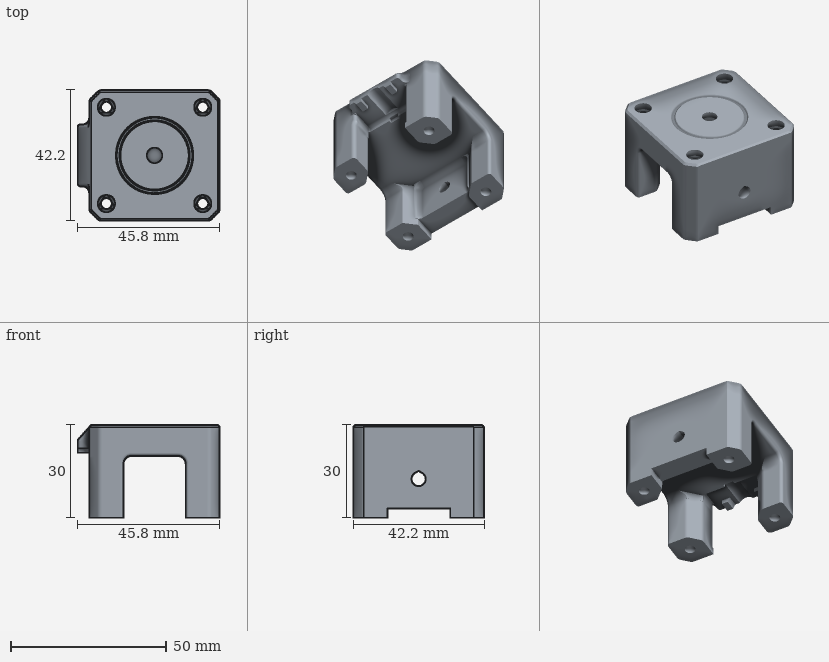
import cadquery as cq
import math

overall_length = 45.75
side = 42.2
height = 30.0
half = side / 2
tolerance = 0.005
back_trim = 0.15
corner_bevel = 3.3
corner_radius = 2.0
top_chamfer = 0.7

clip_reach = overall_length - side + back_trim
clip_front = -half - clip_reach
clip_half_width = 10.02
clip_bottom = 22.47
clip_edge_radius = 1.0
clip_root_radius = 2.0
slope_setback = top_chamfer
slope_angle = 48
tooth_bottom = 20.95
tooth_pitch = 11.63
tooth_width = 2.05
tooth_slant = 0.82
first_tooth = 4.75

ceiling = 19.95
arch_radius = 2.5
arch_half_width = 10.0
arch_edge_radius = 1.0
entry_left = 10.15
entry_edge_radius = 1.35
pocket_half_width = 10.65
pocket_wall_x = 14.05
pocket_fillet = 2.0
wall_bottom = 3.0
leg_bevel_reach = 23.7
leg_bevel_radius = 2.0
teardrop_radius = 2.25
teardrop_peak = 2.55
teardrop_z = 12.55

notch_left = 9.75
notch_right = -9.9
notch_bottom = 2.5
notch_depth = 7.5
notch_ceiling_fillet = 1.0
notch_side_fillet = 0.5
notch_edge_radius = 1.0
screw_z = 21.0
screw_slot_width = 3.5
screw_slot_depth = 1.0
screw_head_diameter = 5.6

hole_offset = 15.5
hole_diameter = 3.5
counterbore_diameter = 5.6
counterbore_depth = 2.35
triangle_depth = 0.2
centre_hole_diameter = 5.0
centre_hole_depth = 2.0
groove_outer_radius = 12.5
groove_inner_radius = 11.0
groove_depth = 0.4
groove_flank = 0.35


def block(x0, x1, y0, y1, z0, z1):
    """Box between two opposite corners."""
    return cq.Workplane("XY").box(x1 - x0, y1 - y0, z1 - z0, centered=False).translate((x0, y0, z0))


def edges_where(part, test):
    """Workplane holding the edges of a part that pass a test."""
    return part.newObject([edge for edge in part.edges().vals() if test(edge)])


def slope_prism(far_x, far_z, y_half):
    """Prism with the slope as one side and its opposite corner at (far_x, far_z)."""
    rise = math.tan(math.radians(slope_angle))
    slope_top_x = -half + slope_setback
    front_z = height - (slope_top_x - clip_front) * rise
    outline = [(slope_top_x, height), (clip_front, front_z), (clip_front, far_z)]
    outline += [(far_x, far_z), (far_x, height)]
    return cq.Workplane("XZ").polyline(outline).close().extrude(y_half, both=True)


def make_body():
    """Bevelled block with chamfered top edges; the chamfer on -X follows the slope of the clip.

    The +X face is shaved a little after the chamfer.
    """
    body = block(-half, half, -half, half, 0, height).edges("|Z").chamfer(corner_bevel)
    body = body.edges("|Z").fillet(corner_radius)
    body = body.faces(">Z").edges().chamfer(top_chamfer)
    return body.intersect(slope_prism(half - back_trim, 0, half))


def make_clip():
    """Sloped ledge, rounded along its slope, front and upright edges."""
    clip = slope_prism(-half + slope_setback, clip_bottom, clip_half_width)

    def outer_edge(edge):
        centre = edge.Center()
        return centre.x < -half and centre.z > clip_bottom + tolerance

    return edges_where(clip, outer_edge).fillet(clip_edge_radius)


def join_clip(body):
    """Add the clip and blend its two sides into the -X face."""
    joined = body.union(make_clip())

    def root_edge(edge):
        upright = edge.geomType() == "LINE" and edge.BoundingBox().ylen < tolerance
        beside_clip = abs(abs(edge.Center().y) - clip_half_width) < tolerance
        return upright and beside_clip and abs(edge.Center().x + half) < tolerance

    return edges_where(joined, root_edge).fillet(clip_root_radius)


def make_teeth():
    """Two hooks under the clip, each upright on its -Y side and slanted on its +Y side."""
    teeth = cq.Workplane("XY")
    for upright_y in (first_tooth, first_tooth - tooth_pitch):
        outline = [
            (upright_y, clip_bottom),
            (upright_y, tooth_bottom),
            (upright_y + tooth_width, tooth_bottom),
            (upright_y + tooth_width + tooth_slant, clip_bottom),
        ]
        tooth = cq.Workplane("YZ", origin=(clip_front, 0, 0)).polyline(outline).close()
        teeth = teeth.add(tooth.extrude(clip_reach))
    return teeth.combine()


def side_arch():
    """Arch running through the part along Y, flared at both outer faces."""
    arch = block(-arch_half_width, arch_half_width, -half, half, 0, ceiling)
    return arch.edges("|Y and >Z").fillet(arch_radius)


def entry_arch():
    """Arch leading in from the -X face to the middle."""
    arch = block(-half, 0, -arch_half_width, entry_left, 0, ceiling)
    return arch.edges("|X and >Z").fillet(arch_radius)


def inner_pocket():
    """Wider arch from the middle to the +X wall, rounded where it meets the wall."""
    pocket = block(0, pocket_wall_x, -pocket_half_width, pocket_half_width, wall_bottom, ceiling)
    pocket = pocket.edges("|X and >Z").fillet(arch_radius)

    def wall_edge(edge):
        centre = edge.Center()
        return centre.x > pocket_wall_x - tolerance and centre.z > wall_bottom + tolerance

    pocket = edges_where(pocket, wall_edge).fillet(pocket_fillet)
    passage = block(0, half, -arch_half_width, entry_left, 0, wall_bottom)
    return pocket.union(passage)


def leg_bevels():
    """Square column set at 45 degrees that bevels the inner corner of each leg.

    It stays clear of the rounding between the pocket and the +X wall.
    """
    width = leg_bevel_reach * math.sqrt(2)
    column = cq.Workplane("XY").rect(width, width).extrude(ceiling)
    wall_zone = block(
        pocket_wall_x - pocket_fillet, half, -pocket_half_width, pocket_half_width, wall_bottom, ceiling
    )
    outside = block(half, side, -side, side, 0, ceiling)
    return column.rotate((0, 0, 0), (0, 0, 1), 45).cut(wall_zone).cut(outside)


def leg_rounding():
    """Space between the legs up to the spring of the arches, rounded at the bevels of the -X legs."""
    spring = ceiling - arch_radius
    space = leg_bevels().union(block(-arch_half_width, arch_half_width, -half, half, 0, ceiling))
    space = space.union(block(-half, 0, -arch_half_width, entry_left, 0, ceiling))
    space = space.intersect(block(-half, 0, -half, half, 0, spring))

    def bevel_end(edge):
        centre = edge.Center()
        on_bevel = abs(abs(centre.x) + abs(centre.y) - leg_bevel_reach) < tolerance
        return on_bevel and abs(edge.BoundingBox().zlen - spring) < tolerance

    return edges_where(space, bevel_end).fillet(leg_bevel_radius)


def entry_flare():
    """Rounding of the +Y half of the arch mouth on the -X face."""
    plate = block(-half, 0, -half, half, 0, height)
    arched = plate.cut(entry_arch())

    def mouth_edge(edge):
        centre = edge.Center()
        return abs(centre.x + half) < tolerance and abs(centre.y - entry_left) < tolerance

    rounded = edges_where(arched, mouth_edge).fillet(entry_edge_radius)
    return plate.cut(rounded).intersect(block(-half, 0, 0, half, 0, height))


def teardrop():
    """Round hole with a peaked roof through the +X wall."""
    tangent = math.acos(teardrop_radius / teardrop_peak)
    touch_y = teardrop_radius * math.sin(tangent)
    touch_z = teardrop_radius * math.cos(tangent)
    return (
        cq.Workplane("YZ", origin=(0, 0, teardrop_z))
        .moveTo(touch_y, touch_z)
        .lineTo(0, teardrop_peak)
        .lineTo(-touch_y, touch_z)
        .threePointArc((0, -teardrop_radius), (touch_y, touch_z))
        .close()
        .extrude(half)
    )


def notch():
    """Recess under the clip with rounded inner edges and a flared mouth."""
    back = -half + notch_depth
    recess = block(-half, back, notch_right, notch_left, notch_bottom, clip_bottom)
    under_ceiling = recess.edges(">X and >Z").fillet(notch_ceiling_fillet)
    recess = recess.edges(">X and |Z").fillet(notch_side_fillet).intersect(under_ceiling)
    radius = notch_edge_radius
    middle = radius * (1 - math.sqrt(0.5))
    mouth = (
        cq.Workplane("XY", origin=(-half, 0, notch_bottom))
        .moveTo(0, notch_left + radius)
        .threePointArc((middle, notch_left + middle), (radius, notch_left))
        .lineTo(radius, notch_right)
        .threePointArc((middle, notch_right - middle), (0, notch_right - radius))
        .close()
        .extrude(clip_bottom - notch_side_fillet - notch_bottom)
    )
    return recess.union(mouth)


def screw_seat():
    """Round groove for a screw head in the clip and a square slot in the notch wall."""
    head_end = -half + notch_depth - notch_ceiling_fillet
    head = (
        cq.Workplane("YZ", origin=(clip_front, 0, screw_z))
        .circle(screw_head_diameter / 2)
        .extrude(head_end - clip_front)
    )
    slot_half = screw_slot_width / 2
    slot_end = -half + notch_depth + screw_slot_depth
    slot_top = clip_bottom - notch_ceiling_fillet
    slot = block(-half, slot_end, -slot_half, slot_half, ceiling, slot_top)
    return head.union(slot)


def mounting_hole():
    """Counterbored hole with a three-sided step under the counterbore."""
    hole = cq.Workplane("XY").circle(hole_diameter / 2).extrude(height)
    counterbore = (
        cq.Workplane("XY", origin=(0, 0, height - counterbore_depth))
        .circle(counterbore_diameter / 2)
        .extrude(counterbore_depth)
    )
    step_bottom = height - counterbore_depth - triangle_depth
    step = (
        cq.Workplane("XY", origin=(0, 0, step_bottom))
        .polygon(3, hole_diameter, circumscribed=True)
        .extrude(triangle_depth)
        .rotate((0, 0, 0), (0, 0, 1), -90)
    )
    round_limit = counterbore.translate((0, 0, -triangle_depth))
    return hole.union(counterbore).union(step.intersect(round_limit))


def ring_groove():
    """Ring groove with sloped flanks in the top face."""
    outline = [
        (groove_inner_radius, height),
        (groove_inner_radius + groove_flank, height - groove_depth),
        (groove_outer_radius - groove_flank, height - groove_depth),
        (groove_outer_radius, height),
    ]
    return cq.Workplane("XZ").polyline(outline).close().revolve(360, (0, 0, 0), (0, 1, 0))


def cut_cavity(body):
    """Cut the crossing arches, bevel the legs and round the arch mouths."""
    cavity = side_arch().union(entry_arch()).union(inner_pocket()).union(leg_bevels())
    body = body.cut(cavity)

    def side_mouth(edge):
        box = edge.BoundingBox()
        centre = edge.Center()
        on_side = box.ylen < tolerance and abs(abs(centre.y) - half) < tolerance
        in_arch = abs(centre.x) < arch_half_width + tolerance
        return on_side and in_arch and tolerance < box.zmax < ceiling + tolerance

    body = edges_where(body, side_mouth).fillet(arch_edge_radius)
    return body.cut(leg_rounding()).cut(entry_flare())


def cut_top_features(part):
    """Cut the ring groove, the blind centre hole and the four mounting holes."""
    part = part.cut(ring_groove())
    centre_bottom = cq.Workplane("XY", origin=(0, 0, height - centre_hole_depth))
    part = part.cut(centre_bottom.circle(centre_hole_diameter / 2).extrude(centre_hole_depth))
    for x in (-hole_offset, hole_offset):
        for y in (-hole_offset, hole_offset):
            part = part.cut(mounting_hole().translate((x, y, 0)))
    return part


result = cut_cavity(join_clip(make_body()))
result = result.cut(notch()).union(make_teeth())
result = result.cut(screw_seat()).cut(teardrop())
result = cut_top_features(result)